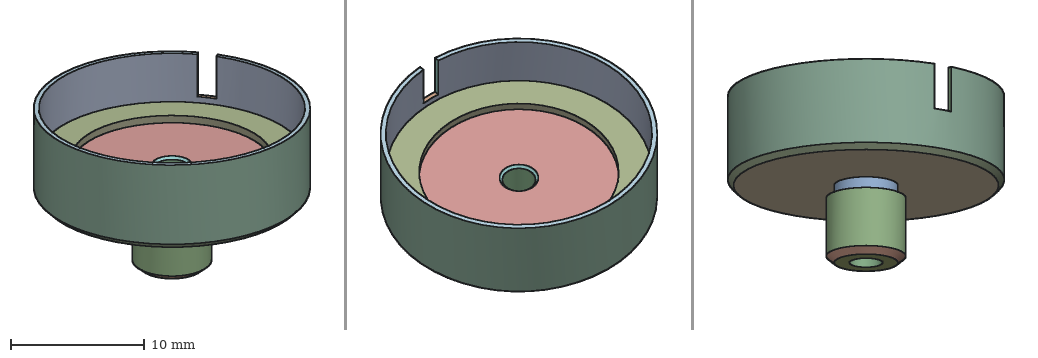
import cadquery as cq

cup_diameter = 20.8
cup_height = 6.97
cup_chamfer = 0.44
bore_diameter = 20.0
bore_depth = 4.0
recess_diameter = 15.0
recess_depth = 0.6

total_height = 13.0
neck_diameter = 4.8
neck_length = 1.0
stem_diameter = 6.0
stem_chamfer_height = 0.5
stem_chamfer_width = 0.6

hole_diameter = 2.5
hole_chamfer = 0.2
slot_width = 1.5
slot_depth = 3.5

cup_bottom = total_height - cup_height
stem_top = cup_bottom - neck_length
bore_floor = total_height - bore_depth
recess_floor = bore_floor - recess_depth


def cylinder(diameter, bottom, top):
    """Vertical cylinder on the central axis."""
    return cq.Workplane("XY").workplane(offset=bottom).circle(diameter / 2).extrude(top - bottom)


def make_body():
    """Solid cup blank with its neck and chamfered stem."""
    cup = cylinder(cup_diameter, cup_bottom, total_height).faces("<Z").chamfer(cup_chamfer)
    neck = cylinder(neck_diameter, stem_top, cup_bottom)
    stem = cylinder(stem_diameter, 0, stem_top)
    stem = stem.faces("<Z").edges().chamfer(stem_chamfer_height, stem_chamfer_width)
    return cup.union(neck).union(stem)


def make_hole():
    """Through hole, widened by a chamfer at the recess floor."""
    hole = cylinder(hole_diameter, 0, recess_floor)
    mouth = (
        cq.Workplane("XY")
        .workplane(offset=recess_floor - hole_chamfer)
        .circle(hole_diameter / 2)
        .workplane(offset=hole_chamfer)
        .circle(hole_diameter / 2 + hole_chamfer)
        .loft()
    )
    return hole.union(mouth)


def make_slot():
    """Notch through the +Y wall, open at the rim."""
    return (
        cq.Workplane("XY")
        .workplane(offset=total_height - slot_depth)
        .center(0, cup_diameter / 2)
        .rect(slot_width, cup_diameter / 2)
        .extrude(slot_depth)
    )


result = (
    make_body()
    .cut(cylinder(bore_diameter, bore_floor, total_height))
    .cut(cylinder(recess_diameter, recess_floor, bore_floor))
    .cut(make_hole())
    .cut(make_slot())
)